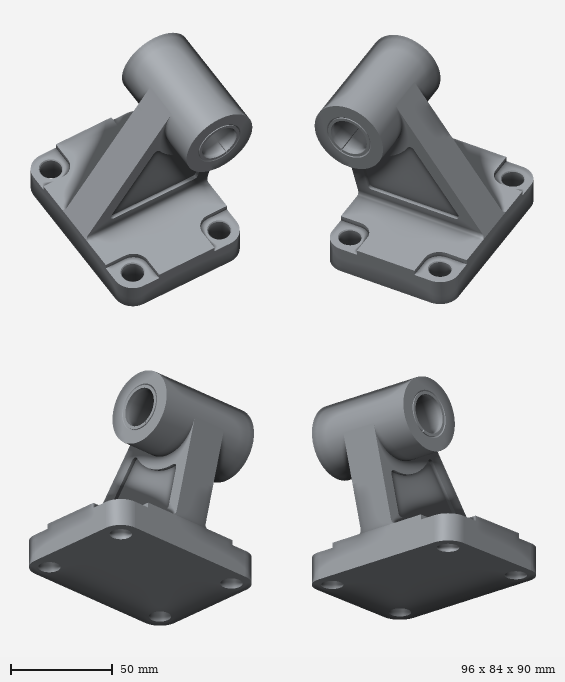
import cadquery as cq
import math

base_length = 96.0
base_width = 70.0
base_height = 17.0
base_corner_radius = 10.0

hole_spacing_x = base_length - 2 * base_corner_radius
hole_spacing_y = base_width - 2 * base_corner_radius
hole_diameter = 11.0
hole_chamfer = 0.5
seat_size = 19.0
seat_corner_radius = 8.0
seat_depth = 2.7
seat_z = base_height - seat_depth

overall_width = 84.0
overall_height = 90.0
boss_radius = 19.0
boss_length = 60.0
boss_y = overall_width - base_width / 2 - boss_radius
boss_z = overall_height - boss_radius

rib_thickness = 20.0
rib_fillet = 2.0

pocket_depth = 2.0
pocket_margin = 6.6
pocket_bottom_z = base_height + 5.6
pocket_corner_radius = 2.0

bore_diameter = 23.0
bore_chamfer = 0.7
bushing_inner_diameter = 20.0
bushing_length = boss_length / 2
bushing_slit_width = 0.5
bushing_slit_angle = 22.5

front_foot = (-base_width / 2, base_height)
back_foot = (base_width / 2, base_height)


def tangent_angle(foot, side):
    """Angle about the boss axis at which the line from foot touches the boss."""
    dy = foot[0] - boss_y
    dz = foot[1] - boss_z
    return math.atan2(dz, dy) + side * math.acos(boss_radius / math.hypot(dy, dz))


front_angle = tangent_angle(front_foot, -1)
back_angle = tangent_angle(back_foot, 1)


def point_about_boss(radius, angle):
    return boss_y + radius * math.cos(angle), boss_z + radius * math.sin(angle)


def cylinder_on_boss_axis(radius, x_start, length):
    return (
        cq.Workplane("YZ", origin=(x_start, boss_y, boss_z))
        .circle(radius)
        .extrude(length)
    )


def make_base():
    plate = (
        cq.Workplane("XY")
        .box(base_length, base_width, base_height, centered=(True, True, False))
        .edges("|Z")
        .fillet(base_corner_radius)
    )
    seats = (
        cq.Workplane("XY", origin=(0, 0, seat_z))
        .rect(base_length, base_width, forConstruction=True)
        .vertices()
        .rect(2 * seat_size, 2 * seat_size)
        .extrude(seat_depth)
        .edges("|Z")
        .fillet(seat_corner_radius)
    )
    return plate.cut(seats)


def make_bolt_hole_cutter():
    """Four through holes, each widening to a small chamfer at its seat."""
    centers = (
        cq.Workplane("XY")
        .rect(hole_spacing_x, hole_spacing_y, forConstruction=True)
        .vertices()
    )
    holes = centers.circle(hole_diameter / 2).extrude(seat_z)
    for vertex in centers.vals():
        center = vertex.Center()
        chamfer = cq.Solid.makeCone(
            hole_diameter / 2,
            hole_diameter / 2 + hole_chamfer,
            hole_chamfer,
            cq.Vector(center.x, center.y, seat_z - hole_chamfer),
        )
        holes = holes.union(chamfer)
    return holes


def make_rib():
    """Side outline tangent to the boss, crossed with a section that flares into the base."""
    side_outline = (
        cq.Workplane("YZ")
        .polyline([
            front_foot,
            point_about_boss(boss_radius, front_angle),
            (boss_y, boss_z),
            point_about_boss(boss_radius, back_angle),
            back_foot,
        ])
        .close()
        .extrude(base_length / 2, both=True)
    )
    half = rib_thickness / 2
    fillet_top = base_height + rib_fillet
    flared_section = (
        cq.Workplane("XZ")
        .moveTo(-half - rib_fillet, base_height)
        .radiusArc((-half, fillet_top), -rib_fillet)
        .lineTo(-half, overall_height)
        .lineTo(half, overall_height)
        .lineTo(half, fillet_top)
        .radiusArc((half + rib_fillet, base_height), -rib_fillet)
        .close()
        .extrude(base_width, both=True)
    )
    return side_outline.intersect(flared_section)


def point_on_pocket_bottom(angle):
    """Where the pocket edge, parallel to the rib edge that touches the boss at angle, reaches the bottom."""
    y, z = point_about_boss(boss_radius - pocket_margin, angle)
    return y + (z - pocket_bottom_z) * math.tan(angle), pocket_bottom_z


def make_pocket(x_start):
    """Pocket inset evenly from both sloping edges and from the boss, with a level bottom."""
    inset_radius = boss_radius - pocket_margin
    pocket = (
        cq.Workplane("YZ", origin=(x_start, 0, 0))
        .polyline([
            point_on_pocket_bottom(front_angle),
            point_about_boss(inset_radius, front_angle),
            (boss_y, boss_z),
            point_about_boss(inset_radius, back_angle),
            point_on_pocket_bottom(back_angle),
        ])
        .close()
        .extrude(pocket_depth)
    )
    boss_clearance = cylinder_on_boss_axis(boss_radius + pocket_margin, x_start, pocket_depth)
    return pocket.cut(boss_clearance).edges("|X").fillet(pocket_corner_radius)


def make_bore_cutter():
    """Through bore of the boss, widening to a chamfer at both ends."""
    bore_radius = bore_diameter / 2
    bore = cylinder_on_boss_axis(bore_radius, -boss_length / 2, boss_length)
    for side in (-1, 1):
        chamfer = cq.Solid.makeCone(
            bore_radius,
            bore_radius + bore_chamfer,
            bore_chamfer,
            cq.Vector(side * (boss_length / 2 - bore_chamfer), boss_y, boss_z),
            cq.Vector(side, 0, 0),
        )
        bore = bore.union(chamfer)
    return bore


def make_bracket():
    boss = cylinder_on_boss_axis(boss_radius, -boss_length / 2, boss_length)
    bracket = make_base().cut(make_bolt_hole_cutter()).union(make_rib()).union(boss)
    for x_start in (-rib_thickness / 2, rib_thickness / 2 - pocket_depth):
        bracket = bracket.cut(make_pocket(x_start))
    return bracket.cut(make_bore_cutter()).solids().val()


def make_bushing(x_start):
    """Thin sleeve, split along its length by a narrow slit."""
    sleeve = cylinder_on_boss_axis(bore_diameter / 2, x_start, bushing_length)
    sleeve = sleeve.cut(cylinder_on_boss_axis(bushing_inner_diameter / 2, x_start, bushing_length))
    slit = (
        cq.Workplane("XY")
        .box(bushing_length, bushing_slit_width, bore_diameter, centered=(False, True, False))
        .translate((0, 0, -bore_diameter))
        .rotate((0, 0, 0), (1, 0, 0), bushing_slit_angle)
        .translate((x_start, boss_y, boss_z))
    )
    return sleeve.cut(slit).solids().val()


bracket = make_bracket()
bushings = [make_bushing(x_start) for x_start in (-bushing_length, 0)]

result = cq.Compound.makeCompound([bracket, *bushings])